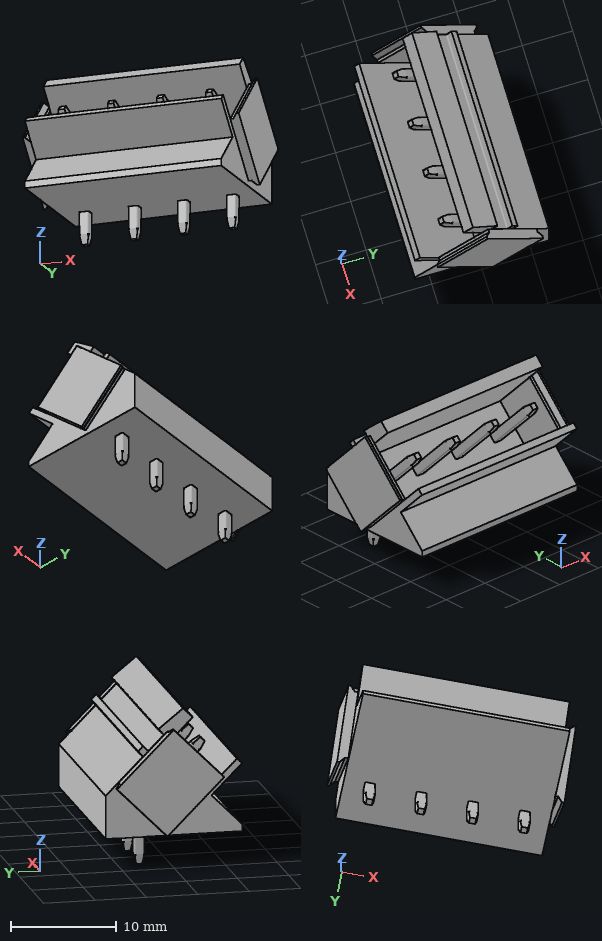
import cadquery as cq
import math


tilt_angle = 45.0

pin_count = 4
pin_pitch = 5.0
pin_width = 1.0
pin_edge_radius = 0.15
pin_tip_length = 1.0
pin_tip_width = 0.6
pin_bend_z = 2.5
pin_tail_z = -3.21
pin_mating_u = 8.71

total_length = 22.0
body_length = 20.0
back_y = 3.78
total_depth = 13.3
front_y = back_y - total_depth
foot_top_u = 5.45
wall_end_u = 9.65
floor_u = 1.19
upper_inner_n = 3.01
upper_outer_n = 3.9
lower_inner_n = -3.08
lower_outer_n = -3.78

rib_start_u = 3.7
rib_end_u = 4.42
rib_top_n = 4.62
rib_fillet = 0.15
lip_start_u = 6.55
lip_slope_u = 6.73
lip_top_n = 4.66
lip_end_n = 4.33

plate_rear_u = -0.25
plate_front_u = 7.57
plate_step = 0.02
rebate_depth = 0.53
rebate_slope_x = 0.45
rebate_flat_x = 0.3

body_end_x = body_length / 2
total_end_x = total_length / 2
axis_origin = (0, 0, pin_bend_z)
u_axis = (0, -1, 1)
n_axis = (0, 1, 1)
profile_plane = cq.Plane(origin=axis_origin, xDir=u_axis, normal=(-1, 0, 0))


def tilted(y, z):
    """Return the (u, n) coordinates of the point (y, z)."""
    height = z - pin_bend_z
    return ((height - y) / math.sqrt(2), (height + y) / math.sqrt(2))


def make_wall_profile():
    """Foot, socket floor and both long walls as one extrusion."""
    back_height = pin_bend_z + upper_outer_n * math.sqrt(2) - back_y
    foot_front_height = pin_bend_z + foot_top_u * math.sqrt(2) + front_y
    points = [
        tilted(back_y, 0),
        tilted(front_y, 0),
        tilted(front_y, foot_front_height),
        (foot_top_u, lower_outer_n),
        (wall_end_u, lower_outer_n),
        (wall_end_u, lower_inner_n),
        (floor_u, lower_inner_n),
        (floor_u, upper_inner_n),
        (wall_end_u, upper_inner_n),
        (wall_end_u, lip_end_n),
        (lip_slope_u, lip_top_n),
        (lip_start_u, lip_top_n),
        (lip_start_u, upper_outer_n),
        tilted(back_y, back_height),
    ]
    return cq.Workplane(profile_plane).polyline(points).close().extrude(body_end_x, both=True)


def make_rib():
    """Rib on the upper wall, with a fillet on either side of its foot."""
    fillet_top_n = upper_outer_n + rib_fillet
    return (
        cq.Workplane(profile_plane)
        .moveTo(rib_start_u - rib_fillet, upper_outer_n)
        .radiusArc((rib_start_u, fillet_top_n), -rib_fillet)
        .lineTo(rib_start_u, rib_top_n)
        .lineTo(rib_end_u, rib_top_n)
        .lineTo(rib_end_u, fillet_top_n)
        .radiusArc((rib_end_u + rib_fillet, upper_outer_n), -rib_fillet)
        .close()
        .extrude(body_end_x, both=True)
    )


def make_end_plate():
    """Plate that closes the +X end of the socket."""
    slope_start_x = body_end_x + rebate_flat_x
    slope_end_x = slope_start_x + rebate_slope_x
    points = [
        (plate_rear_u + rebate_depth, body_end_x),
        (plate_rear_u + rebate_depth, slope_start_x),
        (plate_rear_u, slope_end_x),
        (plate_rear_u, total_end_x),
        (plate_front_u, total_end_x),
        (plate_front_u, slope_end_x),
        (plate_front_u - rebate_depth, slope_start_x),
        (plate_front_u - rebate_depth, body_end_x),
    ]
    plane = cq.Plane(origin=axis_origin, xDir=u_axis, normal=n_axis)
    return (
        cq.Workplane(plane)
        .workplane(offset=lower_inner_n)
        .polyline(points)
        .close()
        .extrude(upper_outer_n - plate_step - lower_inner_n)
    )


def make_pin_bar(plane, length):
    """Square bar with rounded long edges, from the origin of the plane along its normal."""
    return (
        cq.Workplane(plane)
        .rect(pin_width, pin_width)
        .extrude(length)
        .edges(cq.selectors.ParallelDirSelector(plane.zDir))
        .fillet(pin_edge_radius)
    )


def make_pin_leg(direction, length):
    """Straight leg with a tapered tip, reaching one pin width past the bend for the mitre."""
    axis = cq.Vector(*direction).normalized()
    start = cq.Vector(*axis_origin) - axis * pin_width
    bar_plane = cq.Plane(origin=start, xDir=(1, 0, 0), normal=axis)
    bar = make_pin_bar(bar_plane, length + pin_width)

    shank_length = length + pin_width - pin_tip_length
    taper = math.degrees(math.atan((pin_width - pin_tip_width) / 2 / pin_tip_length))
    shank = cq.Workplane(bar_plane).rect(pin_width, pin_width).extrude(shank_length)
    tip = (
        cq.Workplane(bar_plane)
        .workplane(offset=shank_length)
        .rect(pin_width, pin_width)
        .extrude(pin_tip_length, taper=taper)
    )
    return bar.intersect(shank.union(tip))


def make_pin():
    """Vertical solder tail and tilted contact, joined in a mitre at the origin."""
    tail_length = pin_bend_z - pin_tail_z
    tail = make_pin_leg((0, 0, -1), tail_length)
    contact = make_pin_leg(u_axis, pin_mating_u)

    bend_half_angle = math.radians(tilt_angle / 2)
    mitre_normal = (0, -math.sin(bend_half_angle), math.cos(bend_half_angle))
    mitre_plane = cq.Plane(origin=axis_origin, xDir=(1, 0, 0), normal=mitre_normal)
    block_width = 4 * pin_width
    block_length = 2 * pin_mating_u
    contact_side = cq.Workplane(mitre_plane).rect(block_width, block_length).extrude(block_length)
    return tail.cut(contact_side).union(contact.intersect(contact_side)).solids()


pin = make_pin()
first_pin_x = -pin_pitch * (pin_count - 1) / 2
pins = []
for index in range(pin_count):
    pins.append(pin.translate((first_pin_x + index * pin_pitch, 0, 0)))

end_plate = make_end_plate()
housing = make_wall_profile().union(make_rib()).union(end_plate).union(end_plate.mirror("YZ"))
for placed_pin in pins:
    housing = housing.cut(placed_pin)

result = cq.Compound.makeCompound([housing.solids().val(), *[placed_pin.val() for placed_pin in pins]])